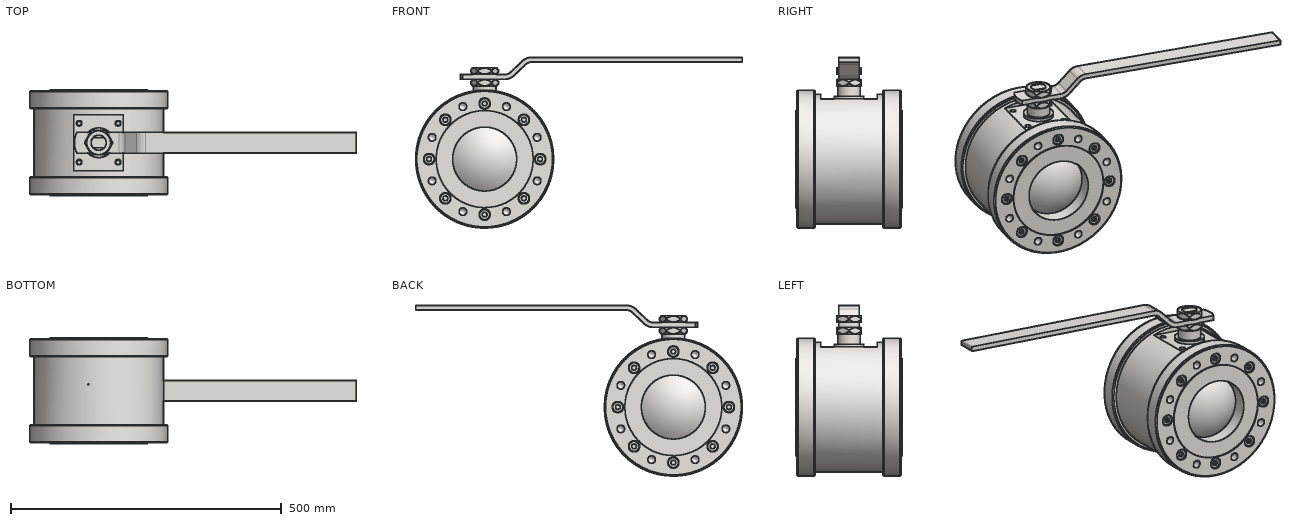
import cadquery as cq
import math


overall_length = 603.5
overall_height = 315.5

flange_diameter = 255.0
flange_thickness = 34.0
flange_chamfer = 2.5
barrel_diameter = 240.0
total_length = 196.0
raised_face_diameter = 179.0
raised_face_height = 2.0
bore_diameter = 118.0
ball_diameter = 180.0

holes_per_circle = 8
tapped_circle_diameter = 210.0
tapped_hole_diameter = 14.0
tapped_hole_depth = 21.0
screw_circle_diameter = 205
screw_recess_diameter = 20.5
screw_head_diameter = 19.0
screw_recess_depth = 12
screw_head_setback = 2.0
socket_width = 8.5
socket_depth = 6
drill_tip_angle = 118

pad_height = 111.0
pad_length = 104.0
pad_hole_spacing = 72.0
pad_thread_diameter = 10.0
pad_thread_depth = 12
pad_drill_diameter = 8.5
pad_drill_depth = 15.0

collar_diameter = 55.0
collar_height = 5.5
stem_diameter = 42
thread_diameter = 28.0
tang_width = 19.0
lower_nut_z = 134.5
nut_width = 45.0
nut_height = 12.5
nut_face_diameter = 44.0
nut_chamfer_height = 5.5

lever_width = 38.5
lever_thickness = 9.0
lever_eye_radius = 44.5
lower_bend_x = 43.5
upper_bend_x = 76.5
bend_inner_radius = 15.0
lever_end_radius = 2.0

face_y = total_length / 2 - raised_face_height
flange_inner_y = face_y - flange_thickness
lever_z = lower_nut_z + nut_height
upper_nut_z = lever_z + lever_thickness
stem_top_z = upper_nut_z + nut_height
lever_tip_x = overall_length - flange_diameter / 2
lever_rise = overall_height - flange_diameter / 2 - upper_nut_z
full_circle = 360


def cylinder_along_y(diameter, start_y, end_y):
    """Cylinder on the bore axis between two Y positions."""
    return cq.Workplane("XZ", origin=(0, start_y, 0)).circle(diameter / 2).extrude(start_y - end_y)


def drilled_hole(diameter, depth):
    """Cutter for a blind hole with a conical bottom, opening at the origin and going down -Z."""
    radius = diameter / 2
    tip_length = radius / math.tan(math.radians(drill_tip_angle / 2))
    profile = [(0, 0), (radius, 0), (radius, -depth), (0, -depth - tip_length)]
    return cq.Workplane("XZ").polyline(profile).close().revolve()


def screw_recess():
    """Cutter that leaves a socket head screw in a counterbore opening at the origin, down -Z."""
    recess = cq.Workplane("XY").circle(screw_recess_diameter / 2).extrude(-screw_recess_depth)
    head_height = screw_recess_depth - screw_head_setback
    head = (
        cq.Workplane("XY", origin=(0, 0, -screw_recess_depth))
        .circle(screw_head_diameter / 2)
        .extrude(head_height)
        .faces(">Z")
        .workplane()
        .polygon(6, socket_width, circumscribed=True)
        .cutBlind(-socket_depth)
    )
    return recess.cut(head)


def make_flanged_barrel():
    """Barrel with a chamfered flange and a raised face at each end."""
    barrel = cylinder_along_y(barrel_diameter, -face_y, face_y)
    raised_faces = cylinder_along_y(raised_face_diameter, -total_length / 2, total_length / 2)
    shape = barrel.union(raised_faces)
    for start_y, end_y in ((-face_y, -flange_inner_y), (flange_inner_y, face_y)):
        flange = cylinder_along_y(flange_diameter, start_y, end_y).edges().chamfer(flange_chamfer)
        shape = shape.union(flange)
    return shape


def cut_mounting_pad(shape):
    """Flat on top of the barrel with four drilled holes."""
    pad_cutter = cq.Workplane("XY", origin=(0, 0, pad_height)).rect(barrel_diameter, pad_length)
    shape = shape.cut(pad_cutter.extrude(barrel_diameter / 2))
    thread = cq.Workplane("XY").circle(pad_thread_diameter / 2).extrude(-pad_thread_depth)
    hole = drilled_hole(pad_drill_diameter, pad_drill_depth).union(thread)
    for x in (-pad_hole_spacing / 2, pad_hole_spacing / 2):
        for y in (-pad_hole_spacing / 2, pad_hole_spacing / 2):
            shape = shape.cut(hole.translate((x, y, pad_height)))
    return shape


def cut_bore(shape):
    """Bore from both ends down to the closed ball."""
    ball = cq.Workplane("XY").sphere(ball_diameter / 2)
    bore = cylinder_along_y(bore_diameter, -total_length / 2, total_length / 2)
    return shape.cut(bore.cut(ball))


def cut_flange_holes(shape):
    """Tapped holes alternating with recessed screws on both flange faces."""
    pitch = full_circle / holes_per_circle
    tapped_hole = drilled_hole(tapped_hole_diameter, tapped_hole_depth)
    patterns = (
        (tapped_hole, tapped_circle_diameter, pitch / 2),
        (screw_recess(), screw_circle_diameter, 0),
    )
    for cutter, circle_diameter, first_angle in patterns:
        front_cutter = cutter.rotate((0, 0, 0), (1, 0, 0), 90).translate((circle_diameter / 2, -face_y, 0))
        for side_cutter in (front_cutter, front_cutter.mirror("XZ")):
            for i in range(holes_per_circle):
                angle = first_angle + i * pitch
                shape = shape.cut(side_cutter.rotate((0, 0, 0), (0, 1, 0), angle))
    return shape


def make_nut(bottom_z):
    """Hexagon nut with corners towards -X and +X and conical chamfers at both ends."""
    corner_diameter = nut_width / math.cos(math.pi / 6)
    corner_radius = corner_diameter / 2
    face_radius = nut_face_diameter / 2
    hexagon = cq.Workplane("XY").polygon(6, corner_diameter).extrude(nut_height)
    profile = [
        (0, 0),
        (face_radius, 0),
        (corner_radius, nut_chamfer_height),
        (corner_radius, nut_height - nut_chamfer_height),
        (face_radius, nut_height),
        (0, nut_height),
    ]
    envelope = cq.Workplane("XZ").polyline(profile).close().revolve()
    hole = cq.Workplane("XY").circle(thread_diameter / 2).extrude(nut_height)
    return hexagon.intersect(envelope).cut(hole).translate((0, 0, bottom_z))


def make_tang(bottom_z, top_z):
    """Part of the stem with two flats facing -Y and +Y."""
    base = cq.Workplane("XY", origin=(0, 0, bottom_z))
    thread = base.circle(thread_diameter / 2).extrude(top_z - bottom_z)
    flats = base.rect(thread_diameter, tang_width).extrude(top_z - bottom_z)
    return thread.intersect(flats)


def make_stem():
    """Collar, shaft and the flat-sided tang that runs through the nuts and the lever."""
    base = cq.Workplane("XY", origin=(0, 0, pad_height))
    collar = base.circle(collar_diameter / 2).extrude(collar_height)
    shaft = base.circle(stem_diameter / 2).extrude(lower_nut_z - pad_height)
    return collar.union(shaft).union(make_tang(lower_nut_z, stem_top_z))


def make_valve():
    shape = make_flanged_barrel()
    shape = cut_mounting_pad(shape)
    shape = cut_bore(shape)
    shape = cut_flange_holes(shape)
    return shape.union(make_stem())


def make_cranked_bar():
    """Rectangular bar with its eye end low, its grip high and two rounded bends between them."""
    bottom_z = lever_z
    top_z = lever_z + lever_thickness
    crank_angle = math.atan2(lever_rise, upper_bend_x - lower_bend_x)
    corner_shift = lever_thickness * math.tan(crank_angle / 2)
    bend_outer_radius = bend_inner_radius + lever_thickness

    lower_top = (lower_bend_x, top_z)
    upper_top = (upper_bend_x, top_z + lever_rise)
    lower_bottom = (lower_bend_x + corner_shift, bottom_z)
    upper_bottom = (upper_bend_x + corner_shift, bottom_z + lever_rise)
    profile = [
        (-lever_eye_radius, bottom_z),
        lower_bottom,
        upper_bottom,
        (lever_tip_x, bottom_z + lever_rise),
        (lever_tip_x, top_z + lever_rise),
        upper_top,
        lower_top,
        (-lever_eye_radius, top_z),
    ]
    bar = cq.Workplane("XZ").polyline(profile).close().extrude(lever_width / 2, both=True)

    bends = (
        (lower_top, bend_inner_radius),
        (upper_bottom, bend_inner_radius),
        (lower_bottom, bend_outer_radius),
        (upper_top, bend_outer_radius),
    )
    for (x, z), radius in bends:
        bar = bar.edges(cq.NearestToPointSelector((x, 0, z))).fillet(radius)
    return bar.faces(">X").edges("|Y").fillet(lever_end_radius)


def make_lever():
    """Cranked bar with an arc-shaped eye end and a hole that fits the tang, joined to its two nuts."""
    bar = make_cranked_bar()
    square_end = cq.Workplane("XY", origin=(-lever_eye_radius / 2, 0, lever_z))
    square_end = square_end.rect(lever_eye_radius, lever_width)
    round_end = cq.Workplane("XY", origin=(0, 0, lever_z)).circle(lever_eye_radius)
    end_trim = square_end.extrude(lever_thickness).cut(round_end.extrude(lever_thickness))
    bar = bar.cut(end_trim).cut(make_tang(lever_z, upper_nut_z))
    return bar.union(make_nut(lower_nut_z)).union(make_nut(upper_nut_z))


valve = make_valve()
lever = make_lever()
result = cq.Compound.makeCompound([valve.solids().val(), lever.solids().val()])